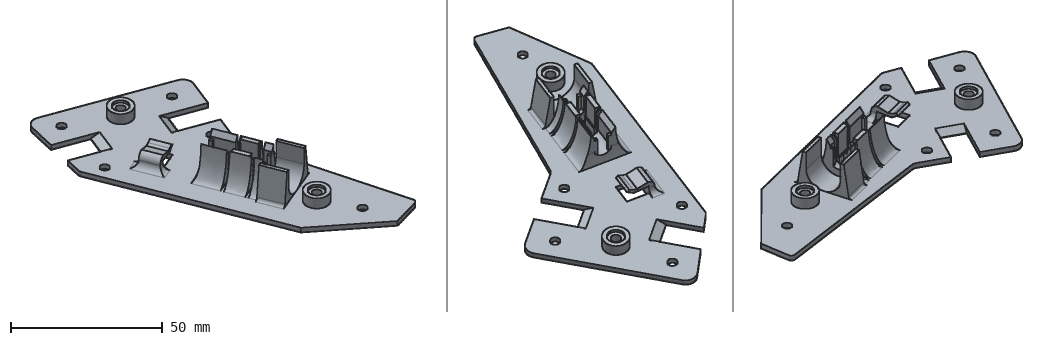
import cadquery as cq
import math

plate_thickness = 2.0
plate_left_height = 58.5
left_corner_radius = 3.9
small_corner_radius = 1.5
inner_corner_radius = 2.0
arm_angle = 42.8
hook_angle = arm_angle - 90

notch_left = 15.6
notch_right = 25.5
bridge_low = 16.1
bridge_high = 44.0
ramp_length = 3.2
ramp_edge_thickness = 0.3

hole_diameter = 3.4
hole_places = [(7.3, 49.2), (32.0, 52.4), (7.3, 9.2), (34.0, 12.9), (89.2, 81.2)]
boss_places = [(10.4, 29.3), (79.2, 69.2)]
boss_diameter = 9.2
boss_top = 6.2
boss_recess_diameter = 6.0
boss_recess_depth = 1.0

clamp_origin = (47.1, 42.4)
clamp_top = 15.1
clamp_half_foot = 9.8
clamp_half_top = 4.6
side_fullness = 0.5
clamp_split_width = 1.1
entry_end = 10.5
finger_start = entry_end + clamp_split_width
finger_end = 19.3
rear_start = finger_end + clamp_split_width
rear_end = 23.4
end_flare_length = 1.3
end_flare_top = 7.1

channel_half_width = 3.1
channel_floor = 4.7
channel_floor_rim = 6.3
channel_mouth_bottom = 13.0
fin_thickness = 1.2
fin_top = 12.1
fin_half_gap = 2.0

finger_half_gap = 2.8
finger_inset = 0.6
slot_half_width = 2.5
rib_half_width = 1.2

cradle_end = 33.5
cradle_half_foot = 10.8
cradle_half_base = 9.7
cradle_half_top = 7.8
cradle_radius = 6.5

hook_origin = (34.0, 33.5)
hook_width = 7.7
hook_top = 7.2
hook_underside = 4.7
hook_tip_height = 6.2
hook_lip_start = 0.9
hook_lip_top = 6.9
hook_dip_start = 2.3
hook_dip_start_height = 6.3
hook_dip_end = 3.8
hook_dip_end_height = 6.0
hook_tip_underside_start = 2.5
hook_post_underside = 5.2
hook_post_start = 8.2
hook_post_end = 10.4
hook_flare = 2.4


def box(x0, x1, y0, y1, z0, z1):
    return cq.Workplane("XY").box(x1 - x0, y1 - y0, z1 - z0, centered=False).translate((x0, y0, z0))


def across(profile, x0, x1):
    """Extrude a closed (Y, Z) profile along X from x0 to x1."""
    return profile.extrude(x1 - x0).translate((x0, 0, 0))


def place(body, angle, origin):
    return body.rotate((0, 0, 0), (0, 0, 1), angle).translate((origin[0], origin[1], 0))


def cylinders(places, diameter, z0, z1):
    return cq.Workplane("XY").workplane(offset=z0).pushPoints(places).circle(diameter / 2).extrude(z1 - z0)


def corner_fillet(body, point, radius):
    """Round the upright plate edge at the given outline point."""
    corner = cq.selectors.NearestToPointSelector((point[0], point[1], plate_thickness / 2))
    return body.edges("|Z").edges(corner).fillet(radius)


def make_plate():
    lower_left = (0, -0.65)
    upper_left = (0, plate_left_height)
    inner_corner = (38.4, plate_left_height)
    arm_tip = (93.0, 99.2)
    arm_side = (100.5, 88.8)
    arm_end = (90.9, 58.2)
    lower_right = (32.6, 4.3)
    outline = [lower_left, lower_right, arm_end, arm_side, arm_tip, inner_corner, upper_left]
    plate = cq.Workplane("XY").polyline(outline).close().extrude(plate_thickness)
    for point, radius in (
        (lower_left, left_corner_radius),
        (upper_left, left_corner_radius),
        (inner_corner, inner_corner_radius),
        (arm_tip, small_corner_radius),
        (lower_right, small_corner_radius),
    ):
        plate = corner_fillet(plate, point, radius)

    bridge_profile = (
        cq.Workplane("YZ")
        .moveTo(bridge_low, 0)
        .lineTo(bridge_high, 0)
        .lineTo(bridge_high, ramp_edge_thickness)
        .lineTo(bridge_high - ramp_length, plate_thickness)
        .lineTo(bridge_low + ramp_length, plate_thickness)
        .lineTo(bridge_low, ramp_edge_thickness)
        .close()
    )
    bridge = across(bridge_profile, notch_left, notch_right)
    notches = box(notch_left, notch_right, 0, plate_left_height, 0, plate_thickness)
    return plate.cut(notches.cut(bridge))


def make_clamp():
    """Flared block with a cable channel, split into entry, fingers and rear part."""
    height = clamp_top - plate_thickness
    flare_width = clamp_half_foot - clamp_half_top
    side_curve = [
        (clamp_half_top, clamp_top),
        (clamp_half_top, clamp_top - side_fullness * height),
        (clamp_half_foot - side_fullness * flare_width, plate_thickness),
        (clamp_half_foot, plate_thickness),
    ]
    mirrored_curve = [(-y, z) for y, z in reversed(side_curve)]
    section = (
        cq.Workplane("YZ")
        .bezier(side_curve)
        .lineTo(-clamp_half_foot, plate_thickness)
        .bezier(mirrored_curve[1:], includeCurrent=True)
        .close()
    )
    body = across(section, 0, rear_end)

    end_height = end_flare_top - plate_thickness
    end_radius = (end_flare_length ** 2 + end_height ** 2) / (2 * end_flare_length)
    half_angle = math.asin(end_height / end_radius) / 2
    end_out = end_radius * (1 - math.cos(half_angle))
    end_drop = end_radius * math.sin(half_angle)
    lengthwise = (
        cq.Workplane("XZ")
        .moveTo(0, plate_thickness)
        .threePointArc(
            (end_flare_length - end_out, end_flare_top - end_drop),
            (end_flare_length, end_flare_top),
        )
        .lineTo(end_flare_length, clamp_top)
        .lineTo(rear_end, clamp_top)
        .lineTo(rear_end, plate_thickness)
        .close()
        .extrude(clamp_half_foot, both=True)
    )
    body = body.intersect(lengthwise)

    for start in (entry_end, finger_end):
        end = start + clamp_split_width
        body = body.cut(box(start, end, -clamp_half_foot, clamp_half_foot, plate_thickness, clamp_top))

    channel_profile = (
        cq.Workplane("YZ")
        .moveTo(-channel_half_width, clamp_top)
        .lineTo(-channel_half_width, channel_floor_rim)
        .threePointArc((0, channel_floor), (channel_half_width, channel_floor_rim))
        .lineTo(channel_half_width, clamp_top)
        .close()
    )
    mouth_profile = (
        cq.Workplane("YZ")
        .moveTo(-channel_half_width, channel_mouth_bottom)
        .lineTo(channel_half_width, channel_mouth_bottom)
        .lineTo(clamp_half_top, clamp_top)
        .lineTo(-clamp_half_top, clamp_top)
        .close()
    )
    channel = across(channel_profile, 0, rear_end)
    finger_first = finger_start + finger_inset
    finger_last = finger_end - finger_inset
    mouth = across(mouth_profile, 0, rear_end)
    mouth = mouth.cut(box(finger_first, finger_last, -clamp_half_top, clamp_half_top, 0, clamp_top))

    entry_fin_end = end_flare_length + fin_thickness
    for start, end, half_gap, top in (
        (end_flare_length, entry_fin_end, fin_half_gap, fin_top),
        (rear_end - fin_thickness, rear_end, fin_half_gap, fin_top),
        (finger_first, finger_last, finger_half_gap, clamp_top),
    ):
        pair = box(start, end, -channel_half_width, channel_half_width, 0, top)
        channel = channel.cut(pair.cut(box(start, end, -half_gap, half_gap, 0, top)))
    return body.cut(channel).cut(mouth)


def make_finger_slots():
    """Slots through the plate beside the rib, flared outwards past the ends of the fingers."""
    wide = slot_half_width + finger_inset
    half_slot = [
        (finger_start, rib_half_width),
        (finger_start, wide),
        (finger_start + finger_inset, slot_half_width),
        (finger_end - finger_inset, slot_half_width),
        (finger_end, wide),
        (finger_end, rib_half_width),
    ]
    slot = cq.Workplane("XY").polyline(half_slot).close().extrude(clamp_top)
    return slot.union(slot.mirror("XZ"))


def make_cradle():
    """Two leaning side walls with a round-bottomed trough between them."""
    base_height = cradle_half_foot - cradle_half_base
    base_top = plate_thickness + base_height
    fillet_depth = base_height * (1 - math.sqrt(0.5))
    fillet_mid = (cradle_half_base + fillet_depth, plate_thickness + fillet_depth)
    section = (
        cq.Workplane("YZ")
        .moveTo(-cradle_half_top, clamp_top)
        .lineTo(cradle_half_top, clamp_top)
        .lineTo(cradle_half_base, base_top)
        .threePointArc(fillet_mid, (cradle_half_foot, plate_thickness))
        .lineTo(-cradle_half_foot, plate_thickness)
        .threePointArc((-fillet_mid[0], fillet_mid[1]), (-cradle_half_base, base_top))
        .close()
    )
    outer = across(section, rear_end, cradle_end)
    axis_height = plate_thickness + cradle_radius
    trough_profile = (
        cq.Workplane("YZ")
        .moveTo(-cradle_radius, clamp_top)
        .lineTo(-cradle_radius, axis_height)
        .threePointArc((0, plate_thickness), (cradle_radius, axis_height))
        .lineTo(cradle_radius, clamp_top)
        .close()
    )
    return outer.cut(across(trough_profile, rear_end, cradle_end))


def make_hook():
    """Side outline trimmed by the end outline, which gives mitred flares around the foot."""
    half_width = hook_width / 2
    half_foot = half_width + hook_flare
    foot_end = hook_post_end + hook_flare
    arc_share = math.sqrt(0.5)
    round_drop = hook_top - hook_underside
    round_start = hook_post_end - round_drop
    flare_height = hook_underside - plate_thickness
    flare_mid_out = hook_flare * (1 - arc_share)
    flare_mid_height = hook_underside - flare_height * arc_share
    side_view = (
        cq.Workplane("XZ")
        .moveTo(0, hook_tip_height)
        .lineTo(hook_lip_start, hook_lip_top)
        .lineTo(hook_dip_start, hook_dip_start_height)
        .lineTo(hook_dip_end, hook_dip_end_height)
        .lineTo(round_start, hook_top)
        .threePointArc(
            (round_start + round_drop * arc_share, hook_underside + round_drop * arc_share),
            (hook_post_end, hook_underside),
        )
        .threePointArc((hook_post_end + flare_mid_out, flare_mid_height), (foot_end, plate_thickness))
        .lineTo(hook_post_start, plate_thickness)
        .lineTo(hook_post_start, hook_post_underside)
        .lineTo(hook_tip_underside_start, hook_underside)
        .close()
        .extrude(half_foot, both=True)
    )
    end_view = (
        cq.Workplane("YZ")
        .moveTo(-half_width, hook_top)
        .lineTo(half_width, hook_top)
        .lineTo(half_width, hook_underside)
        .threePointArc((half_width + flare_mid_out, flare_mid_height), (half_foot, plate_thickness))
        .lineTo(-half_foot, plate_thickness)
        .threePointArc((-half_width - flare_mid_out, flare_mid_height), (-half_width, hook_underside))
        .close()
    )
    return side_view.intersect(across(end_view, 0, foot_end))


def make_hook_window():
    """Opening through the plate under the free arm of the hook."""
    return box(0, hook_post_start, -hook_width / 2, hook_width / 2, 0, plate_thickness)


result = make_plate()
result = result.cut(place(make_hook_window(), hook_angle, hook_origin))
result = result.union(place(make_hook(), hook_angle, hook_origin))
for clamp_part in (make_clamp(), make_cradle()):
    result = result.union(place(clamp_part, arm_angle, clamp_origin))
result = result.cut(place(make_finger_slots(), arm_angle, clamp_origin))

result = result.union(cylinders(boss_places, boss_diameter, plate_thickness, boss_top))
result = result.cut(cylinders(boss_places, boss_recess_diameter, boss_top - boss_recess_depth, boss_top))
result = result.cut(cylinders(hole_places + boss_places, hole_diameter, 0, boss_top))